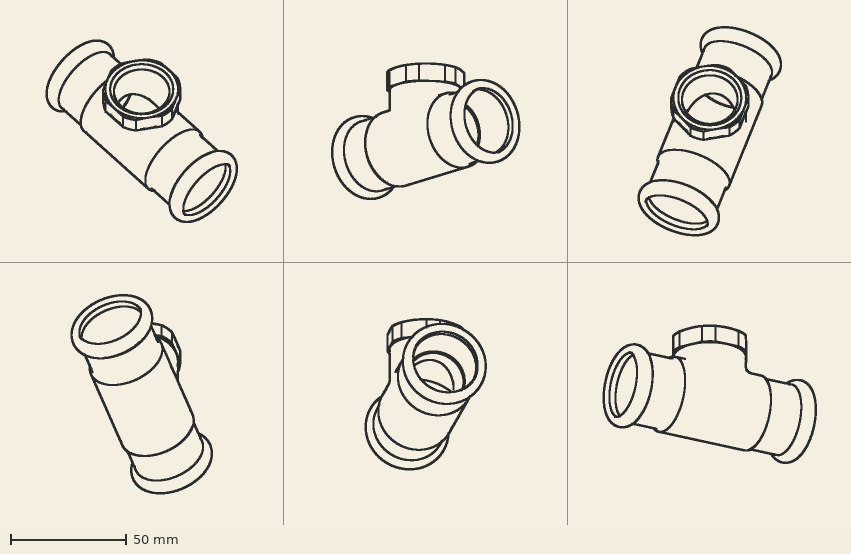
import cadquery as cq
import math


RUN_LENGTH = 88.0
BODY_RADIUS = 33.4 / 2
BODY_HALF_LENGTH = 21.2
TUBE_RADIUS = 31.4 / 2
NECK_RADIUS = 1.5

BEAD_CREST_RADIUS = 36.68 / 2
BEAD_ARC_RADIUS = 3.75
RIM_RADIUS = 15.1

LIP_RADIUS = 28.8 / 2
SOCKET_RADIUS = 28.4 / 2
BORE_RADIUS = 25.0 / 2
GROOVE_HALF_WIDTH = 1.5
GROOVE_DEPTH = 0.3
LIP_END_DEPTH = 6.45
SOCKET_START_DEPTH = 7.35
STOP_FILLET = 0.4
BORE_CHAMFER = 0.5

BRANCH_TOP = 30.0
BRANCH_RADIUS = 31.4 / 2
BRANCH_BORE_RADIUS = 24.12 / 2
BRANCH_MOUTH_RADIUS = 27.4 / 2
BRANCH_FILLET = 3.0

HEX_HEIGHT = 7.8
HEX_ACROSS_FLATS = 31.6
HEX_TURN = 30.0
HEX_CORNER_RADIUS = 33.6 / 2
HEX_TOP_RADIUS = 31.6 / 2
HEX_TOP_CHAMFER_ANGLE = 20.0

RUN_END = RUN_LENGTH / 2
SOCKET_STOP = BODY_HALF_LENGTH
HEX_BOTTOM = BRANCH_TOP - HEX_HEIGHT
BEAD_CENTER_RADIUS = BEAD_CREST_RADIUS - BEAD_ARC_RADIUS


def leg(hypotenuse, other_leg):
    """Remaining leg of a right triangle."""
    return math.sqrt(hypotenuse**2 - other_leg**2)


BEAD_CENTER_X = RUN_END - leg(BEAD_ARC_RADIUS, RIM_RADIUS - BEAD_CENTER_RADIUS)


def on_both_ends(half):
    """Join a half built on +X with its mirror image."""
    return half.union(half.mirror("YZ"))


def revolve_about_x(profile):
    """Revolve a closed profile of (x, radius) points about the X axis."""
    return profile.close().revolve(360, (0, 0, 0), (1, 0, 0))


def run_outside():
    """Body, necked-down tubes and end beads as one solid of revolution."""
    bead_inner_x = BEAD_CENTER_X - leg(BEAD_ARC_RADIUS, TUBE_RADIUS - BEAD_CENTER_RADIUS)
    neck_center_radius = TUBE_RADIUS + NECK_RADIUS
    neck_end_x = BODY_HALF_LENGTH + leg(NECK_RADIUS, neck_center_radius - BODY_RADIUS)
    neck_angle = math.acos((neck_center_radius - BODY_RADIUS) / NECK_RADIUS) / 2
    neck_middle = (
        neck_end_x - NECK_RADIUS * math.sin(neck_angle),
        neck_center_radius - NECK_RADIUS * math.cos(neck_angle),
    )
    profile = (
        cq.Workplane("XY")
        .lineTo(0, BODY_RADIUS)
        .lineTo(BODY_HALF_LENGTH, BODY_RADIUS)
        .threePointArc(neck_middle, (neck_end_x, TUBE_RADIUS))
        .lineTo(bead_inner_x, TUBE_RADIUS)
        .threePointArc((BEAD_CENTER_X, BEAD_CREST_RADIUS), (RUN_END, RIM_RADIUS))
        .lineTo(RUN_END, 0)
    )
    return on_both_ends(revolve_about_x(profile))


def run_inside():
    """Cutter for the run: bore, socket stops, sockets, grooves and rounded rims."""
    rim_round = RIM_RADIUS - LIP_RADIUS
    round_inset = 1 - math.sqrt(0.5)
    fillet_inset = STOP_FILLET * round_inset
    rim_inset = rim_round * round_inset
    profile = (
        cq.Workplane("XY")
        .lineTo(0, BORE_RADIUS)
        .lineTo(SOCKET_STOP - BORE_CHAMFER, BORE_RADIUS)
        .lineTo(SOCKET_STOP, BORE_RADIUS + BORE_CHAMFER)
        .lineTo(SOCKET_STOP, SOCKET_RADIUS - STOP_FILLET)
        .threePointArc(
            (SOCKET_STOP + fillet_inset, SOCKET_RADIUS - fillet_inset),
            (SOCKET_STOP + STOP_FILLET, SOCKET_RADIUS),
        )
        .lineTo(RUN_END - SOCKET_START_DEPTH, SOCKET_RADIUS)
        .lineTo(RUN_END - LIP_END_DEPTH, LIP_RADIUS)
        .lineTo(BEAD_CENTER_X - GROOVE_HALF_WIDTH, LIP_RADIUS)
        .threePointArc(
            (BEAD_CENTER_X, LIP_RADIUS + GROOVE_DEPTH),
            (BEAD_CENTER_X + GROOVE_HALF_WIDTH, LIP_RADIUS),
        )
        .lineTo(RUN_END - rim_round, LIP_RADIUS)
        .threePointArc((RUN_END - rim_inset, LIP_RADIUS + rim_inset), (RUN_END, RIM_RADIUS))
        .lineTo(RUN_END, 0)
    )
    return on_both_ends(revolve_about_x(profile))


def tee_outside():
    """Run and round branch, blended where they meet."""
    branch = cq.Workplane("XY").circle(BRANCH_RADIUS).extrude(HEX_BOTTOM)
    tee = run_outside().union(branch)
    seam_reach = BRANCH_RADIUS + BRANCH_FILLET
    seam_region = cq.selectors.BoxSelector(
        (-seam_reach, -seam_reach, BRANCH_FILLET),
        (seam_reach, seam_reach, BODY_RADIUS + BRANCH_FILLET),
        boundingbox=True,
    )
    return tee.edges(seam_region).fillet(BRANCH_FILLET)


def hex_end():
    """Hexagon with two flats facing Y, turned-off corners and a conical top edge."""
    hexagon = (
        cq.Workplane("XY", origin=(0, 0, HEX_BOTTOM))
        .transformed(rotate=(0, 0, HEX_TURN))
        .polygon(6, HEX_ACROSS_FLATS, circumscribed=True)
        .extrude(HEX_HEIGHT)
    )
    chamfer_width = HEX_CORNER_RADIUS - HEX_TOP_RADIUS
    chamfer_height = chamfer_width * math.tan(math.radians(HEX_TOP_CHAMFER_ANGLE))
    turned_blank = (
        cq.Workplane("XY", origin=(0, 0, HEX_BOTTOM))
        .circle(HEX_CORNER_RADIUS)
        .extrude(HEX_HEIGHT)
        .faces(">Z")
        .edges()
        .chamfer(chamfer_height, chamfer_width)
    )
    return hexagon.intersect(turned_blank)


def branch_bore():
    """Cutter for the branch: straight bore with a 45 degree mouth."""
    lead_in = BRANCH_MOUTH_RADIUS - BRANCH_BORE_RADIUS
    profile = (
        cq.Workplane("XZ")
        .lineTo(BRANCH_BORE_RADIUS, 0)
        .lineTo(BRANCH_BORE_RADIUS, BRANCH_TOP - lead_in)
        .lineTo(BRANCH_MOUTH_RADIUS, BRANCH_TOP)
        .lineTo(0, BRANCH_TOP)
        .close()
    )
    return profile.revolve(360, (0, 0, 0), (0, 1, 0))


result = tee_outside().union(hex_end()).cut(run_inside()).cut(branch_bore())